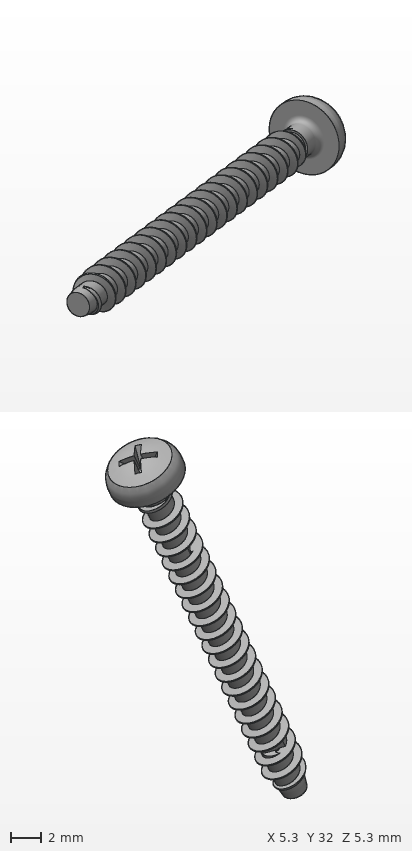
import cadquery as cq
import math


total_length = 31.97

head_diameter = 5.3
head_height = 2.0
rim_height = 0.5
shoulder_radius = 2.25
shoulder_height = 1.5
side_bulge_radius = 1.35

recess_depth = 1.28
recess_radius = 1.47
recess_floor_radius = 0.48
recess_wing_width = 0.45

shank_diameter = 2.27
shank_length = 1.5
shank_fillet = 0.4
core_diameter = 1.95
tip_diameter = 1.73
tip_taper_length = 0.7

thread_diameter = 3.05
pitch = 1.35
thread_start = 0.8
turns = 21.25
crest_width = 0.1
root_width = 0.4
root_radius = 0.65
fade_in_start = 1.28
fade_in_end = 4.03
fade_out_start = 26.85
envelope_radius = 1.85

upper_flat_offset = 0.67
upper_flat_top = 5.8
upper_flat_bottom = 6.8
lower_flat_offset = 0.5
lower_flat_near = 24.4
lower_flat_far = 25.32
lower_flat_bottom = 25.75

head_radius = head_diameter / 2
shank_radius = shank_diameter / 2
core_radius = core_diameter / 2
tip_radius = tip_diameter / 2
thread_radius = thread_diameter / 2

crown_drop = head_height - shoulder_height
crown_radius = (shoulder_radius**2 + crown_drop**2) / (2 * crown_drop)
wing_corner_radius = math.hypot(recess_wing_width / 2, recess_wing_width / 2)
crown_sink = crown_radius - math.sqrt(crown_radius**2 - wing_corner_radius**2)
tip_y = head_height - crown_sink - total_length

thread_end = thread_start + turns * pitch


def make_head():
    """Turned head: a short cylindrical rim, a rounded side and a flat crown arc."""
    return (
        cq.Workplane("XY")
        .lineTo(head_radius, 0)
        .lineTo(head_radius, rim_height)
        .radiusArc((shoulder_radius, shoulder_height), -side_bulge_radius)
        .radiusArc((0, head_height), -crown_radius)
        .close()
        .revolve(360, (0, 0, 0), (0, 1, 0))
    )


def make_recess():
    """Two crossing wings that narrow towards the floor of the recess."""
    floor_y = head_height - recess_depth
    wing = (
        cq.Workplane("XY")
        .polyline([
            (-recess_floor_radius, floor_y),
            (recess_floor_radius, floor_y),
            (recess_radius, head_height),
            (-recess_radius, head_height),
        ])
        .close()
        .extrude(recess_wing_width / 2, both=True)
    )
    return wing.union(wing.rotate((0, 0, 0), (0, 1, 0), 90))


def make_body():
    """Shank with a fillet under the head, then the core with its tapered tip."""
    return (
        cq.Workplane("XY")
        .lineTo(shank_radius + shank_fillet, 0)
        .radiusArc((shank_radius, -shank_fillet), -shank_fillet)
        .lineTo(shank_radius, -shank_length)
        .lineTo(core_radius, -shank_length)
        .lineTo(core_radius, tip_y + tip_taper_length)
        .lineTo(tip_radius, tip_y)
        .lineTo(0, tip_y)
        .close()
        .revolve(360, (0, 0, 0), (0, 1, 0))
    )


def make_upper_flat():
    """Flat cut across the -X side of the core."""
    length = upper_flat_bottom - upper_flat_top
    middle_y = -(upper_flat_top + upper_flat_bottom) / 2
    return (
        cq.Workplane("YZ", origin=(-upper_flat_offset, middle_y, 0))
        .rect(length, core_diameter)
        .extrude(-core_radius)
    )


def make_lower_flat():
    """Cut on the -Z side of the core whose upper edge follows the thread."""
    return (
        cq.Workplane("XY", origin=(0, 0, -lower_flat_offset))
        .polyline([
            (-core_radius, -lower_flat_near),
            (core_radius, -lower_flat_far),
            (core_radius, -lower_flat_bottom),
            (-core_radius, -lower_flat_bottom),
        ])
        .close()
        .extrude(-core_radius)
    )


def make_ridge_turn(start, turn_count):
    """Right-handed helical ridge of trapezoidal section, at most one turn long."""
    def helix(radius, offset):
        wire = cq.Wire.makeHelix(pitch, turn_count * pitch, radius)
        return wire.translate(cq.Vector(0, 0, start + offset))

    corners = [
        helix(root_radius, -root_width / 2),
        helix(thread_radius, -crest_width / 2),
        helix(thread_radius, crest_width / 2),
        helix(root_radius, root_width / 2),
    ]
    neighbours = corners[1:] + corners[:1]
    faces = [cq.Face.makeRuledSurface(a, b) for a, b in zip(corners, neighbours)]
    for position in (0, 1):
        section = [wire.positionAt(position) for wire in corners]
        faces.append(cq.Face.makeFromWires(cq.Wire.makePolygon(section, close=True)))
    ridge = cq.Solid.makeSolid(cq.Shell.makeShell(faces))
    return cq.Workplane("XY").add(ridge).rotate((0, 0, 0), (1, 0, 0), 90)


def make_thread_envelope():
    """Turned limit that lets the ridge rise out of the shank and fade at the tip."""
    return (
        cq.Workplane("XY")
        .moveTo(0, -fade_in_start)
        .lineTo(shank_radius, -fade_in_start)
        .lineTo(envelope_radius, -fade_in_end)
        .lineTo(envelope_radius, -fade_out_start)
        .lineTo(core_radius, -thread_end)
        .lineTo(0, -thread_end)
        .close()
        .revolve(360, (0, 0, 0), (0, 1, 0))
    )


def add_thread(body):
    """Join the ridge to the core turn by turn, which keeps each union simple."""
    envelope = make_thread_envelope()
    for index in range(math.ceil(turns)):
        start = thread_start + index * pitch
        turn = make_ridge_turn(start, min(1, turns - index))
        trimmed_turn = turn.intersect(envelope, clean=False)
        body = body.union(trimmed_turn, clean=False)
    return body


core = make_body().cut(make_upper_flat()).cut(make_lower_flat())
head = make_head().cut(make_recess())
result = add_thread(core).union(head, clean=False)